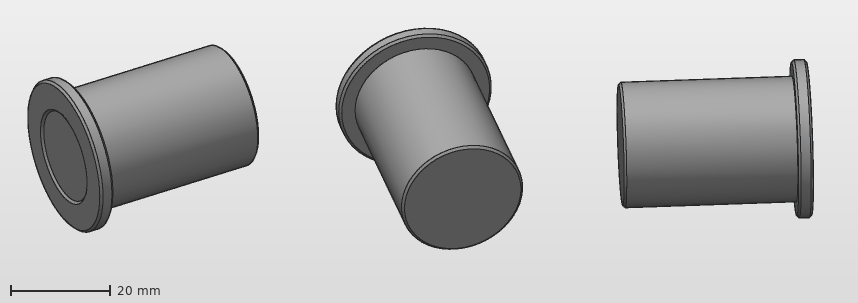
import cadquery as cq

total_length = 38.1
flange_diameter = 32.0
flange_thickness = 3.0
body_diameter = 25.4
edge_chamfer = 0.5
recess_diameter = 20.0
recess_depth = edge_chamfer
recess_taper_angle = 45.0


def cylinder_along_y(diameter, length):
    """Solid cylinder starting on the front plane and running toward +Y."""
    return cq.Workplane("XZ").circle(diameter / 2).extrude(-length)


flange = cylinder_along_y(flange_diameter, flange_thickness).edges().chamfer(edge_chamfer)

body = cylinder_along_y(body_diameter, total_length).faces(">Y").edges().chamfer(edge_chamfer)

recess = cq.Workplane("XZ").circle(recess_diameter / 2).extrude(-recess_depth, taper=recess_taper_angle)

result = flange.union(body).cut(recess)